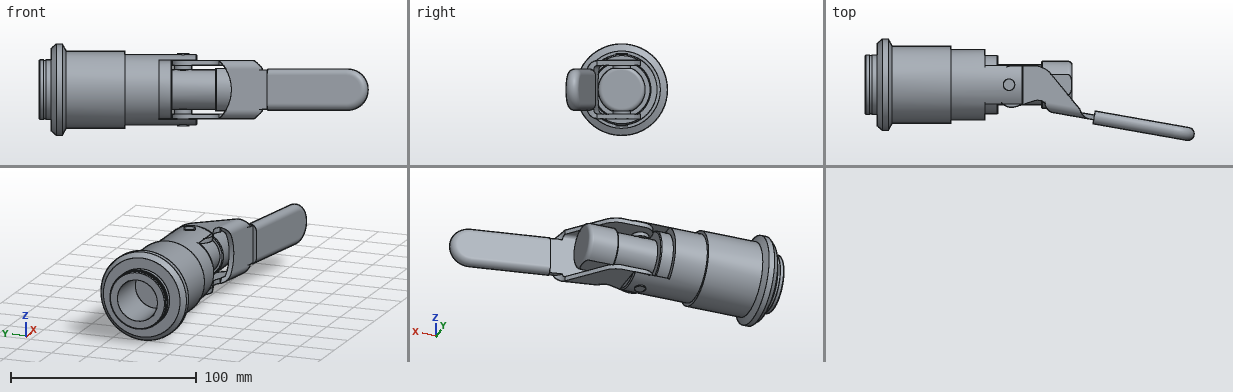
import cadquery as cq
import math

length = 177.2
width = 54.8

flange_d = 49.5
flange_face_d = 44.3
body_d = 41.6
sleeve_d = 38.1
nose_d = 32.3
nose_groove_d = 31.5
nose_chamfer = 0.5
groove_start = 2.3
groove_end = 3.7
flange_start = 6.4
rim_start = 9.2
rim_end = 12.4
flange_end = 14.5
body_end = 46.0
sleeve_end = 64.5
bore_d = 23.0
bore_depth = 26.5

arm_end = 85.0
arm_width = 21.0
arm_gap = 31.7
arm_chamfer = 0.7

collar_d = 31.5
collar_end = 71.6
rod_d = 21.6
head_d = 25.3
head_start = 94.8
head_end = 111.5
head_across_flats = 22.9
head_round = 2.3
edge_break = 0.5

pin_x = 77.5
pin_d = 6.2
pin_length = 39.2
boss_d = 9.5

lever_angle = 10.0
lever_width = 31.5
sheet = 2.7
bend_radius = 4.8
cheek_left = 71.8
cheek_top = 10.1
cheek_bottom = -12.2
cheek_corner = 7.1
waist_rise = 16.0
arch_radius = 21.8
arch_x = 103.5
arch_top = -10.1
web_start = 96.8
neck_start = 113.5
neck_width = 21.3
channel_length = 35.5
channel_height = 53.2

grip_width = 22.3
grip_thickness = 7.1
grip_length = 51.2
grip_round_share = 0.99

tip_round = grip_thickness / 2
tip_x = length - tip_round
tip_y = flange_d / 2 - width + tip_round


def rod_along_x(diameter, start, end):
    return cq.Workplane("YZ").workplane(offset=start).circle(diameter / 2).extrude(end - start)


def tilt_to_lever(shape):
    """Move a shape from the grip-tip frame to its place in the part."""
    return shape.rotate((0, 0, 0), (0, 0, 1), -lever_angle).translate((tip_x, tip_y, 0))


def make_housing():
    profile = [
        (0, 0),
        (0, nose_d / 2 - nose_chamfer),
        (nose_chamfer, nose_d / 2),
        (groove_start, nose_d / 2),
        (groove_start, nose_groove_d / 2),
        (groove_end, nose_groove_d / 2),
        (groove_end, nose_d / 2),
        (flange_start, nose_d / 2),
        (flange_start, flange_face_d / 2),
        (rim_start, flange_d / 2),
        (rim_end, flange_d / 2),
        (flange_end, body_d / 2),
        (body_end, body_d / 2),
        (body_end, sleeve_d / 2),
        (sleeve_end, sleeve_d / 2),
        (sleeve_end, 0),
    ]
    turned = cq.Workplane("XY").polyline(profile).close().revolve(360, (0, 0, 0), (1, 0, 0))
    return turned.cut(rod_along_x(bore_d, 0, bore_depth))


def make_arms():
    tube = rod_along_x(sleeve_d, sleeve_end, arm_end).faces(">X").edges().chamfer(arm_chamfer)
    arm_span = cq.Workplane("XY").box(2 * arm_end, arm_width, sleeve_d)
    gap = cq.Workplane("XY").box(2 * arm_end, sleeve_d, arm_gap)
    return tube.intersect(arm_span.cut(gap))


def make_plunger():
    collar = rod_along_x(collar_d, sleeve_end, collar_end).faces(">X").edges().chamfer(edge_break)
    rod = rod_along_x(rod_d, collar_end, head_start)
    head = rod_along_x(head_d, head_start, head_end)
    head = head.faces(">X").edges().fillet(head_round)
    head = head.faces("<X").edges().chamfer(edge_break)
    flats = cq.Workplane("XY").box(2 * head_end, head_d, head_across_flats)
    return collar.union(rod).union(head.intersect(flats))


def make_pivot():
    pin = cq.Workplane("XY").center(pin_x, 0).circle(pin_d / 2).extrude(pin_length / 2, both=True)
    boss_reach = lever_width / 2 - sheet
    bosses = cq.Workplane("XY").center(pin_x, 0).circle(boss_d / 2).extrude(boss_reach, both=True)
    bosses = bosses.cut(cq.Workplane("XY").box(2 * head_end, rod_d, rod_d))
    return pin.union(bosses)


def make_channel():
    """U-channel with its web on the lever's middle plane, opening towards +Y."""
    outer = cq.Workplane("XY").box(channel_length, channel_height, lever_width)
    outer = outer.edges("|X and <Y").fillet(bend_radius)
    inner = cq.Workplane("XY").box(channel_length, channel_height, lever_width - 2 * sheet)
    inner = inner.edges("|X and <Y").fillet(bend_radius - sheet)
    channel = outer.cut(inner.translate((0, sheet, 0)))
    centre_x = -grip_length - channel_length / 2
    centre_y = channel_height / 2 - sheet / 2
    return tilt_to_lever(channel.translate((centre_x, centre_y, 0)))


def make_lever_outline():
    """Side outline of the lever, wide enough in Z to trim the whole channel."""
    corner_x = cheek_left + cheek_corner
    corner_y = cheek_bottom + cheek_corner
    top_corner_y = cheek_top - cheek_corner
    diagonal = cheek_corner * math.sqrt(0.5)
    waist_angle = math.radians(waist_rise)
    waist_start = (
        corner_x + cheek_corner * math.sin(waist_angle),
        corner_y - cheek_corner * math.cos(waist_angle),
    )
    waist_end = (91.0, -8.7)
    waist_peak = (94.1, -8.5)
    shoulder_start = (92.7, cheek_top)
    shoulder_mid = (95.9, 9.0)
    diagonal_start = (99.2, 6.7)
    diagonal_end = (115.7, -13.3)
    run_out_mid = (117.7, -16.8)
    run_out_end = (120.9, -18.6)
    below_web = -channel_height
    outline = (
        cq.Workplane("XY")
        .moveTo(cheek_left, corner_y)
        .lineTo(cheek_left, top_corner_y)
        .threePointArc((corner_x - diagonal, top_corner_y + diagonal), (corner_x, cheek_top))
        .lineTo(*shoulder_start)
        .threePointArc(shoulder_mid, diagonal_start)
        .lineTo(*diagonal_end)
        .threePointArc(run_out_mid, run_out_end)
        .lineTo(run_out_end[0], below_web)
        .lineTo(web_start, below_web)
        .lineTo(web_start, arch_top)
        .threePointArc(waist_peak, waist_end)
        .lineTo(*waist_start)
        .threePointArc((corner_x - diagonal, corner_y - diagonal), (cheek_left, corner_y))
        .close()
    )
    return outline.extrude(lever_width, both=True)


def make_cheeks():
    """Two flat side plates, up to where the bent web begins."""
    sides = cq.Workplane("XY").box(2 * web_start, channel_height, lever_width)
    return sides.cut(cq.Workplane("XY").box(2 * web_start, channel_height, lever_width - 2 * sheet))


def make_lever():
    arch = cq.Workplane("XZ").workplane(offset=-arch_top).center(arch_x - arch_radius, 0)
    arch = arch.circle(arch_radius).extrude(channel_height)
    before_web = cq.Workplane("XY").box(2 * web_start, 2 * channel_height, lever_width)
    bent_part = make_channel().cut(before_web).cut(arch)
    return bent_part.union(make_cheeks()).intersect(make_lever_outline())


def make_neck():
    """Narrow strip of the web that runs on to the middle of the grip."""
    start = (neck_start - tip_x) / math.cos(math.radians(lever_angle))
    end = -grip_length / 2
    neck = cq.Workplane("XY").box(end - start, sheet, neck_width)
    return tilt_to_lever(neck.translate(((start + end) / 2, 0, 0)))


def make_grip():
    end_radius = grip_width / 2
    end_centre = tip_round - end_radius
    grip = (
        cq.Workplane("XZ")
        .moveTo(-grip_length, -end_radius)
        .lineTo(end_centre, -end_radius)
        .threePointArc((tip_round, 0), (end_centre, end_radius))
        .lineTo(-grip_length, end_radius)
        .close()
        .extrude(grip_thickness / 2, both=True)
    )
    edge_round = grip_round_share * grip_thickness / 2
    grip = grip.faces("<Y or >Y").edges("not <X").fillet(edge_round)
    return tilt_to_lever(grip)


result = make_housing()
for piece in (make_arms(), make_plunger(), make_pivot(), make_lever(), make_neck(), make_grip()):
    result = result.union(piece)